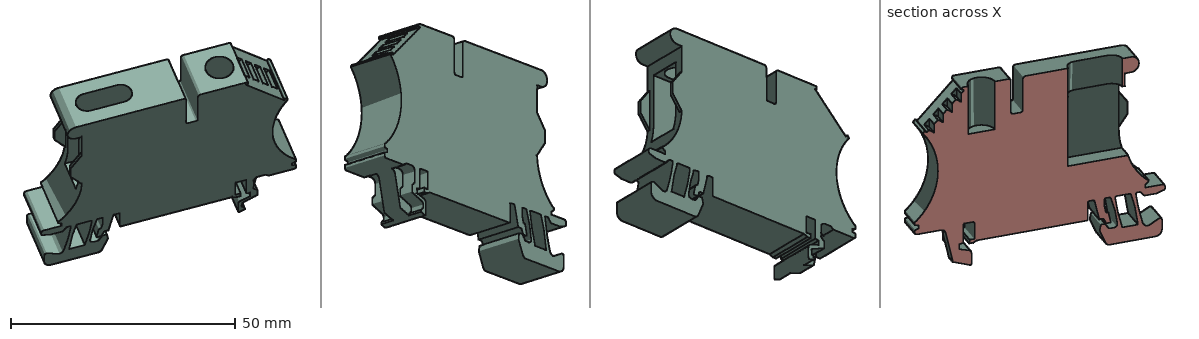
import cadquery as cq
import math


thickness = 12.0
length = 60.0
height = 46.25

rear_y = length / 2
front_y = -length / 2
seat_z = 11.9
rear_ledge_z = 11.3
base_z = 7.1
front_wall_y = -20.4
small_round = 0.3

slot_y_min = 4.15
slot_y_max = 6.9
slot_floor_z = 37.3
slot_mouth_round = 0.7
slot_floor_round = 0.5

nose_y = -23.75
nose_round = 2.0
nose_underside_z = height - 2 * nose_round

scoop_radius = 15.6
rear_scoop_top = (28.1, 36.35)
rear_scoop_bottom = (29.5, 14.9)
front_scoop_top = (front_wall_y, 26.4)
front_scoop_bottom = (-25.45, 14.9)

slope_low = (27.2, 36.5)
slope_high = (18.25, 45.4)
lip_round = 0.5
lip_underside_z = 45.6

groove_count = 4
groove_pitch = 2.15
groove_first_y = 26.65
groove_width_x = 5.5
groove_shallow_run = 0.8
groove_shallow_drop = 0.4
groove_steep_run = 0.5

screw_hole_diameter = 6.3
screw_hole_y = 14.0
screw_hole_depth = 12.0
oblong_width = 5.05
oblong_length = 12.95
oblong_y = -13.2

entry_width = 7.7
entry_floor_z = 21.7
entry_top_z = 39.1
entry_back_y = oblong_y + oblong_length / 2

ear_thickness = 0.8
ear_tip_y = -23.05

rear_rib_thickness = 4.8

overlap = 0.6
merge_distance = 0.0005


def rounded_outline(corners):
    """Closed YZ wire through (y, z) or (y, z, radius) corners; a radius rounds the corner."""
    stretches = []
    count = len(corners)
    for index, corner in enumerate(corners):
        point = cq.Vector(corner[0], corner[1])
        if len(corner) == 2:
            stretches.append((point,))
            continue
        radius = corner[2]
        before = cq.Vector(*corners[index - 1][:2])
        after = cq.Vector(*corners[(index + 1) % count][:2])
        to_before = (before - point).normalized()
        to_after = (after - point).normalized()
        half_angle = to_before.getAngle(to_after) / 2
        tangent_length = radius / math.tan(half_angle)
        center_distance = radius / math.sin(half_angle)
        bisector = (to_before + to_after).normalized()
        stretches.append((
            point + to_before * tangent_length,
            point + bisector * (center_distance - radius),
            point + to_after * tangent_length,
        ))

    last_point = stretches[0][-1]
    sketch = cq.Workplane("YZ").moveTo(*stretches[0][-1].toTuple()[:2])
    for stretch in stretches[1:] + stretches[:1]:
        if (stretch[0] - last_point).Length > merge_distance:
            sketch = sketch.lineTo(*stretch[0].toTuple()[:2])
        last_point = stretch[-1]
        if len(stretch) == 3:
            sketch = sketch.threePointArc(stretch[1].toTuple()[:2], stretch[2].toTuple()[:2])
    return sketch.close()


def plate(corners, width):
    """Rounded outline extruded symmetrically about X = 0."""
    return rounded_outline(corners).extrude(width / 2, both=True)


rear_end = [
    (18.65, height, lip_round),
    (18.8, lip_underside_z),
    slope_high,
    slope_low,
    (27.5, 37.15, 0.2),
    rear_scoop_top,
    rear_scoop_bottom,
    (rear_y, 14.5, 0.25),
    (rear_y, 13.75, 0.3),
    (29.05, 13.5, 0.2),
    (29.05, 12.8, 0.2),
    (rear_y, 12.6, 0.3),
    (rear_y, rear_ledge_z, 0.55),
    (23.5, rear_ledge_z),
    (22.8, seat_z, 0.5),
]
rear_foot = [
    (20.0, seat_z, 1.2),
    (20.0, 8.1, 0.2),
    (20.95, 7.2, 0.35),
    (20.95, 5.5, 0.25),
    (17.2, 4.1, 0.7),
    (17.2, 2.9, 0.2),
    (17.9, 2.2),
    (18.0, 1.7),
    (16.3, 1.0, 0.35),
    (16.3, 4.85, 1.1),
    (19.25, 5.75),
    (19.25, 6.9),
    (18.3, base_z),
    (18.3, seat_z, small_round),
]
underside = [
    (15.7, seat_z, small_round),
    (15.7, 7.6, 0.2),
    (16.9, 7.75),
    (16.9, 6.65),
    (16.0, 6.65),
    (15.0, base_z),
    (-11.45, base_z, 0.25),
    (-11.45, seat_z, small_round),
]
latch_finger = [
    (-12.95, seat_z, 0.4),
    (-14.15, 6.85),
    (-15.2, 6.85, 0.25),
    (-15.85, 5.5, 0.2),
    (-17.05, 5.5, 0.25),
    (-16.45, 8.1, 0.35),
    (-15.85, 8.4, 0.35),
    (-15.5, 9.95, 0.9),
    (-15.5, seat_z, small_round),
]
front_hook = [
    (-16.85, seat_z, 0.35),
    (-17.9, 8.5, 4.8),
    (-18.6, 4.2, 0.8),
    (-16.5, 4.2, 0.5),
    (-15.55, 5.6, 0.25),
    (-14.5, 5.6, 0.3),
    (-14.2, 4.1, 1.2),
    (-15.95, 0.0, 1.2),
    (-29.3, 0.0, 1.7),
    (-29.3, 4.9, 0.6),
    (-25.1, 2.7, 1.1),
    (-23.65, 7.5, 42.0),
    (-23.0, seat_z, small_round),
]
front_end = [
    (-24.0, seat_z, 0.5),
    (-24.95, 10.75, 0.5),
    (-27.9, 10.75, 0.5),
    (front_y, 11.4, 0.5),
    (front_y, 12.85, 0.7),
    (-25.2, 12.85),
    (-25.2, 13.5, 0.2),
    (-26.35, 14.4, 0.35),
    front_scoop_bottom,
    front_scoop_top,
    (front_wall_y, nose_underside_z),
    (nose_y, nose_underside_z, nose_round),
    (nose_y, height, nose_round),
]
top_slot = [
    (slot_y_min, height, slot_mouth_round),
    (slot_y_min, slot_floor_z, slot_floor_round),
    (slot_y_max, slot_floor_z, slot_floor_round),
    (slot_y_max, height, slot_mouth_round),
]
hook_window = [
    (-18.0, seat_z, 0.35),
    (-21.65, seat_z, 0.35),
    (-22.6, 8.65, 4.8),
    (-23.4, 3.9),
    (-19.75, 3.9),
    (-18.7, 7.75, 7.2),
]
ear = [
    (front_wall_y + overlap, 35.8),
    (front_wall_y, 35.8),
    (ear_tip_y, 32.2, small_round),
    (ear_tip_y, 29.2, small_round),
    (front_wall_y, 25.6),
    (front_wall_y + overlap, 25.6),
]
rear_rib = [
    (24.0, seat_z + overlap),
    (24.0, rear_ledge_z),
    (22.8, rear_ledge_z, 1.2),
    (20.9, 2.75, 0.1),
    (18.0, 1.7),
    (16.8, 1.45),
    (16.8, 4.45),
    (20.0, 5.7),
    (19.5, seat_z + overlap),
]


def scoop(lower_end, upper_end, radius):
    """Circular segment that hollows out the straight edge between two points."""
    return (
        cq.Workplane("YZ")
        .moveTo(*lower_end)
        .radiusArc(upper_end, radius)
        .close()
        .extrude(thickness / 2, both=True)
    )


def marker_groove(outer_y):
    """Groove that deepens away from its outer edge on the 45 degree slope."""
    outer_z = slope_low[1] + slope_low[0] - outer_y
    knee = (outer_y - groove_shallow_run, outer_z - groove_shallow_drop)
    bottom = (knee[0] - groove_steep_run, knee[1] - groove_steep_run)
    groove_run = groove_shallow_run + groove_steep_run
    return plate(
        [(outer_y, outer_z), knee, bottom, (bottom[0], outer_z + groove_run)],
        groove_width_x,
    )


body = plate(
    rear_end + rear_foot + underside + latch_finger + front_hook + front_end + top_slot,
    thickness,
)
body = body.cut(plate(hook_window, thickness))
body = body.cut(scoop(rear_scoop_bottom, rear_scoop_top, scoop_radius))
body = body.cut(scoop(front_scoop_bottom, front_scoop_top, -scoop_radius))
body = body.union(plate(rear_rib, rear_rib_thickness))

for side in (-1, 1):
    ear_x = side * (thickness - ear_thickness) / 2
    body = body.union(plate(ear, ear_thickness).translate((ear_x, 0, 0)))

for index in range(groove_count):
    body = body.cut(marker_groove(groove_first_y - index * groove_pitch))

entry = (
    cq.Workplane("XY", origin=(0, front_y, entry_floor_z))
    .box(
        entry_width,
        entry_back_y - front_y,
        entry_top_z - entry_floor_z,
        centered=(True, False, False),
    )
)
body = body.cut(entry)

top_plane = cq.Workplane("XY", origin=(0, 0, height))
screw_hole = top_plane.center(0, screw_hole_y).circle(screw_hole_diameter / 2).extrude(-screw_hole_depth)
oblong = top_plane.center(0, oblong_y).slot2D(oblong_length, oblong_width, 90).extrude(entry_top_z - height)

result = body.cut(screw_hole).cut(oblong)